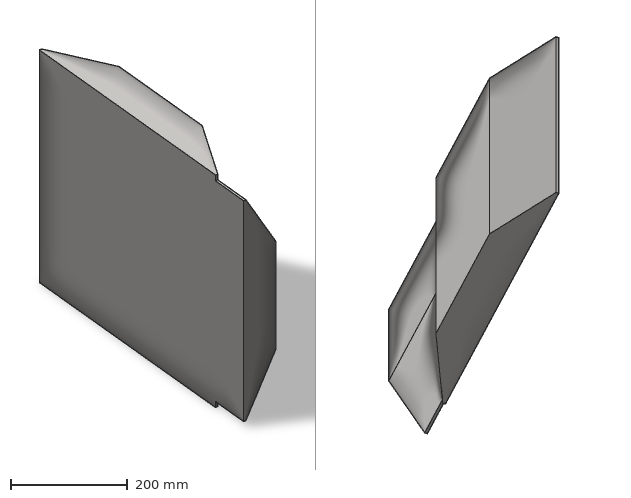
import cadquery as cq
import math

LENGTH = 545.0
HEIGHT = 495.0
DEPTH = 74.0

RIM = 5.0
SLOPE_ANGLE = 29.1

MAIN_LENGTH = 470.0

END_STEP = 12.5
END_DEPTH = 72.5
END_START = MAIN_LENGTH / 2


def hipped_outline(start, end, depth):
    """Corners of a trapezoid standing on a straight rim, as (along, depth) pairs."""
    run = (depth - RIM) / math.tan(math.radians(SLOPE_ANGLE))
    return [
        (start, 0),
        (end, 0),
        (end, RIM),
        (end - run, depth),
        (start + run, depth),
        (start, RIM),
    ]


def main_block():
    """Trapezoid in XY, with sloped left and right sides, over the full height."""
    outline = hipped_outline(0, MAIN_LENGTH, DEPTH)
    return cq.Workplane("XY").polyline(outline).close().extrude(HEIGHT)


def end_block():
    """Trapezoid in YZ, with sloped top and bottom, running to the +X end."""
    outline = hipped_outline(END_STEP, HEIGHT - END_STEP, END_DEPTH)
    points = [(y, z) for z, y in outline]
    return (
        cq.Workplane("YZ", origin=(END_START, 0, 0))
        .polyline(points)
        .close()
        .extrude(LENGTH - END_START)
    )


result = main_block().union(end_block())